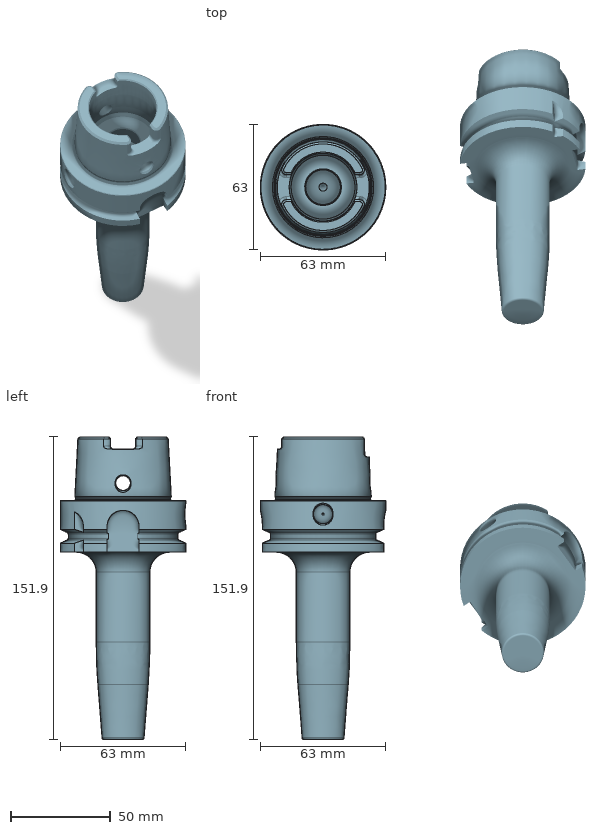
import cadquery as cq
import math


SHANK_TOP = 31.9
GAUGE_RADIUS = 24.0
GAUGE_HEIGHT = 6.3
TAPER_SLOPE = 1 / 20
RIM_CHAMFER = 1.0
CHAMFER_ANGLE = 45

RELIEF_TOP = 2.0
RELIEF_RUN_IN = 0.8
RELIEF_RADIUS = 23.9
RELIEF_WALL_BOTTOM = 0.4
RELIEF_FLOOR = -0.5
RELIEF_EDGE_RADIUS = 24.7
RELIEF_MOUTH_RADIUS = 25.4

FLANGE_RADIUS = 31.5
FLANGE_BOTTOM = -26.0
FLANGE_CHAMFER = 0.3
GROOVE_FLOOR_RADIUS = 27.5
GROOVE_CENTRE = -18.0
GROOVE_WIDTH = 7.0
GROOVE_ANGLE = 25
GROOVE_FILLET = 0.8

NOSE_RADIUS = 13.5
NECK_FILLET = 10.0
NOSE_CURVE_START = -71.0
NOSE_TAPER_START = -92.5
NOSE_TIP = -120.0
NOSE_TAPER_ANGLE = 4.5
TIP_FILLET = 1.0

CAVITY_RADIUS = 17.0
CAVITY_FLOOR = 2.0
CAVITY_MOUTH_CHAMFER = 0.6
CAVITY_FLOOR_CHAMFER = 1.5
CAVITY_FLARE_TOP = 19.5
CAVITY_FLARE_BOTTOM = 8.5
CAVITY_LOWER_RADIUS = 17.5
COUNTERBORE_RADIUS = 8.7
COUNTERBORE_CHAMFER = 0.5
COUNTERBORE_DEPTH = 10.0
CENTRE_CONE_RADIUS = 2.0
CENTRE_CONE_DEPTH = 2.0

DRIVE_SLOT_WIDTH = 12.54
DRIVE_SLOT_CORNER = 2.4
DRIVE_SLOT_FLOOR_FILLET = 1.5
DRIVE_SLOT_DEPTHS = {180: 6.2, 0: 10.0}

CLAMP_HOLE_RADIUS = 3.7
CLAMP_HOLE_HEIGHT = 8.7
CLAMP_HOLE_CHAMFER = 0.7
CHIP_HOLE_RADIUS = 4.8
CHIP_HOLE_HEIGHT = -6.9
CHIP_HOLE_CHAMFER = 0.7
CHIP_HOLE_DEPTH = 4.6
PILOT_RADIUS = 0.5
PILOT_DEPTH = 1.0

KEYWAY_WIDTH = 16.0
KEYWAY_CENTRE_HEIGHT = -13.0
KEYWAY_FLOOR = 26.5
NOTCH_FLOOR = 20.0
NOTCH_WALL = 19.9

SEAM_ANGLE = 50


def taper_radius(height):
    return GAUGE_RADIUS - (height - GAUGE_HEIGHT) * TAPER_SLOPE


def revolve_about_z(profile):
    return profile.close().revolve(360, (0, 0, 0), (0, 1, 0))


def make_body():
    half_groove = GROOVE_WIDTH / 2
    flank_drop = (FLANGE_RADIUS - GROOVE_FLOOR_RADIUS) * math.tan(math.radians(GROOVE_ANGLE))
    slope = math.tan(math.radians(NOSE_TAPER_ANGLE))
    half_angle = math.radians(NOSE_TAPER_ANGLE / 2)
    arc_drop = (NOSE_CURVE_START - NOSE_TAPER_START) * math.tan(half_angle)
    taper_start_radius = NOSE_RADIUS - arc_drop
    tip_radius = taper_start_radius - (NOSE_TAPER_START - NOSE_TIP) * slope

    profile = (
        cq.Workplane("XZ")
        .moveTo(0, SHANK_TOP)
        .lineTo(taper_radius(SHANK_TOP) - RIM_CHAMFER, SHANK_TOP)
        .lineTo(taper_radius(SHANK_TOP), SHANK_TOP - RIM_CHAMFER)
        .lineTo(taper_radius(RELIEF_TOP), RELIEF_TOP)
        .lineTo(RELIEF_RADIUS, RELIEF_TOP - RELIEF_RUN_IN)
        .lineTo(RELIEF_RADIUS, RELIEF_WALL_BOTTOM)
        .lineTo(RELIEF_EDGE_RADIUS, RELIEF_FLOOR)
        .lineTo(RELIEF_MOUTH_RADIUS, 0)
        .lineTo(FLANGE_RADIUS - FLANGE_CHAMFER, 0)
        .lineTo(FLANGE_RADIUS, -FLANGE_CHAMFER)
        .lineTo(FLANGE_RADIUS, GROOVE_CENTRE + half_groove)
        .lineTo(GROOVE_FLOOR_RADIUS, GROOVE_CENTRE + half_groove - flank_drop)
        .lineTo(GROOVE_FLOOR_RADIUS, GROOVE_CENTRE - half_groove + flank_drop)
        .lineTo(FLANGE_RADIUS, GROOVE_CENTRE - half_groove)
        .lineTo(FLANGE_RADIUS, FLANGE_BOTTOM)
        .lineTo(NOSE_RADIUS + NECK_FILLET, FLANGE_BOTTOM)
        .radiusArc((NOSE_RADIUS, FLANGE_BOTTOM - NECK_FILLET), -NECK_FILLET)
        .lineTo(NOSE_RADIUS, NOSE_CURVE_START)
        .tangentArcPoint((taper_start_radius, NOSE_TAPER_START), relative=False)
        .lineTo(tip_radius, NOSE_TIP)
        .lineTo(0, NOSE_TIP)
    )
    body = revolve_about_z(profile)
    body = body.faces("<Z").edges().fillet(TIP_FILLET)
    groove_box = cq.selectors.BoxSelector(
        (-FLANGE_RADIUS, -FLANGE_RADIUS, GROOVE_CENTRE - half_groove + flank_drop / 2),
        (FLANGE_RADIUS, FLANGE_RADIUS, GROOVE_CENTRE + half_groove - flank_drop / 2),
    )
    return body.edges("%CIRCLE").edges(groove_box).fillet(GROOVE_FILLET)


def make_cavity():
    counterbore_floor = CAVITY_FLOOR - COUNTERBORE_DEPTH
    profile = (
        cq.Workplane("XZ")
        .moveTo(0, SHANK_TOP)
        .lineTo(CAVITY_RADIUS + CAVITY_MOUTH_CHAMFER, SHANK_TOP)
        .lineTo(CAVITY_RADIUS, SHANK_TOP - CAVITY_MOUTH_CHAMFER)
        .lineTo(CAVITY_RADIUS, CAVITY_FLARE_TOP)
        .lineTo(CAVITY_LOWER_RADIUS, CAVITY_FLARE_BOTTOM)
        .lineTo(CAVITY_LOWER_RADIUS, CAVITY_FLOOR + CAVITY_FLOOR_CHAMFER)
        .lineTo(CAVITY_LOWER_RADIUS - CAVITY_FLOOR_CHAMFER, CAVITY_FLOOR)
        .lineTo(COUNTERBORE_RADIUS + COUNTERBORE_CHAMFER, CAVITY_FLOOR)
        .lineTo(COUNTERBORE_RADIUS, CAVITY_FLOOR - COUNTERBORE_CHAMFER)
        .lineTo(COUNTERBORE_RADIUS, counterbore_floor)
        .lineTo(CENTRE_CONE_RADIUS, counterbore_floor)
        .lineTo(0, counterbore_floor - CENTRE_CONE_DEPTH)
    )
    return revolve_about_z(profile)


def draw_drive_slot():
    """Plan outline of a rim slot; it flares outward so the lug corners come out rounded."""
    rim_radius = taper_radius(SHANK_TOP)
    half_width = DRIVE_SLOT_WIDTH / 2
    corner_y = half_width + DRIVE_SLOT_CORNER
    centre_distance = rim_radius - DRIVE_SLOT_CORNER
    corner_x = math.sqrt(centre_distance**2 - corner_y**2)
    end_angle = math.atan2(corner_y, corner_x)
    end_x = rim_radius * math.cos(end_angle)
    end_y = rim_radius * math.sin(end_angle)
    outer_x = FLANGE_RADIUS
    inner_x = CAVITY_RADIUS / 2

    return (
        cq.Workplane("XY")
        .moveTo(inner_x, -half_width)
        .lineTo(corner_x, -half_width)
        .radiusArc((end_x, -end_y), DRIVE_SLOT_CORNER)
        .lineTo(outer_x, -end_y)
        .lineTo(outer_x, end_y)
        .lineTo(end_x, end_y)
        .radiusArc((corner_x, half_width), DRIVE_SLOT_CORNER)
        .lineTo(inner_x, half_width)
        .close()
    )


def make_drive_slot(direction, depth):
    slot = draw_drive_slot().extrude(depth).faces("<Z").edges().fillet(DRIVE_SLOT_FLOOR_FILLET)
    flare = draw_drive_slot().extrude(RIM_CHAMFER, taper=-CHAMFER_ANGLE)
    flare = flare.translate((0, 0, depth - RIM_CHAMFER))
    cutter = slot.union(flare).translate((0, 0, SHANK_TOP - depth))
    return cutter.rotate((0, 0, 0), (0, 0, 1), direction)


def make_clamp_hole():
    """Cutter for the countersunk radial hole in the +X shank wall."""
    inner_end = CAVITY_RADIUS / 2
    surface = taper_radius(CLAMP_HOLE_HEIGHT)
    chamfer_base = surface - CLAMP_HOLE_CHAMFER
    profile = (
        cq.Workplane("XY", origin=(0, 0, CLAMP_HOLE_HEIGHT))
        .moveTo(inner_end, 0)
        .lineTo(inner_end, CLAMP_HOLE_RADIUS)
        .lineTo(chamfer_base, CLAMP_HOLE_RADIUS)
        .lineTo(surface + CLAMP_HOLE_CHAMFER, CLAMP_HOLE_RADIUS + 2 * CLAMP_HOLE_CHAMFER)
        .lineTo(surface + CLAMP_HOLE_CHAMFER, 0)
        .close()
    )
    return profile.revolve(360, (0, 0, 0), (1, 0, 0))


def opposite(cutter):
    """The same cutter turned to the other side of the axis."""
    return cutter.rotate((0, 0, 0), (0, 0, 1), 180)


def make_chip_hole():
    """Flat-bottomed chip pocket in the -Y side of the flange, with a pilot in its floor."""
    mouth = -FLANGE_RADIUS
    floor = mouth + CHIP_HOLE_DEPTH
    profile = (
        cq.Workplane("XY", origin=(0, 0, CHIP_HOLE_HEIGHT))
        .moveTo(0, mouth)
        .lineTo(CHIP_HOLE_RADIUS + CHIP_HOLE_CHAMFER, mouth)
        .lineTo(CHIP_HOLE_RADIUS, mouth + CHIP_HOLE_CHAMFER)
        .lineTo(CHIP_HOLE_RADIUS, floor)
        .lineTo(PILOT_RADIUS, floor)
        .lineTo(PILOT_RADIUS, floor + PILOT_DEPTH)
        .lineTo(0, floor + PILOT_DEPTH)
    )
    return revolve_about_z(profile)


def make_keyway(floor_x, centre_y):
    """Round-topped slot cutter entering from -X and open at the flange underside."""
    radius = KEYWAY_WIDTH / 2
    return (
        cq.Workplane("YZ", origin=(-floor_x, 0, 0))
        .moveTo(centre_y - radius, FLANGE_BOTTOM)
        .lineTo(centre_y - radius, KEYWAY_CENTRE_HEIGHT)
        .radiusArc((centre_y + radius, KEYWAY_CENTRE_HEIGHT), radius)
        .lineTo(centre_y + radius, FLANGE_BOTTOM)
        .close()
        .extrude(-FLANGE_RADIUS)
    )


result = make_body().cut(make_cavity()).rotate((0, 0, 0), (0, 0, 1), SEAM_ANGLE)
for slot_direction, slot_depth in DRIVE_SLOT_DEPTHS.items():
    result = result.cut(make_drive_slot(slot_direction, slot_depth))

keyway = make_keyway(KEYWAY_FLOOR, 0)
orientation_notch = make_keyway(NOTCH_FLOOR, NOTCH_WALL + KEYWAY_WIDTH / 2)
result = result.cut(keyway).cut(opposite(keyway)).cut(orientation_notch)

clamp_hole = make_clamp_hole()
result = result.cut(clamp_hole).cut(opposite(clamp_hole)).cut(make_chip_hole())